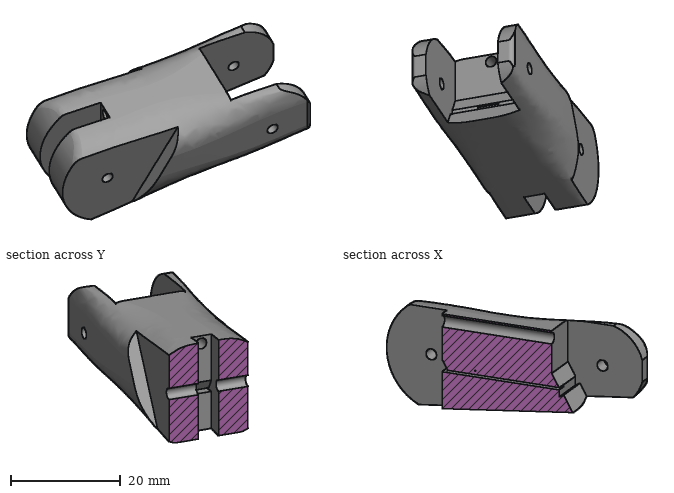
import cadquery as cq
import math


top_z = 9.0
rear_y = 39.99
nose_bottom_z = -10.11
nose_y = -9.0
nose_radius = 11.12
nose_center_y = nose_y + nose_radius
nose_top_y = nose_center_y - math.sqrt(nose_radius**2 - top_z**2)
nose_bottom_y = nose_center_y - math.sqrt(nose_radius**2 - nose_bottom_z**2)
nose_blend_radius = 1.9
underside_slope = 0.1205
front_margin_y = -10.5
rear_margin_y = 41.0

body_sections = [
    (front_margin_y, 2.9, 10.63, 3.2, -1.2, 6.2),
    (-2.0, 2.85, 10.63, 3.2, -1.2, 6.2),
    (6.5, 2.7, 10.63, 3.1, -1.2, 5.6),
    (15.5, 2.55, 10.53, 3.0, -1.6, 4.0),
    (24.5, 5.2, 10.33, 3.9, -2.15, 2.3),
    (33.0, 8.0, 10.13, 4.9, -1.8, 1.7),
    (rear_margin_y, 8.4, 9.95, 4.9, -1.2, 1.7),
]

rear_pin_y = 32.0
rear_pin_z = 1.0
rear_radius = 8.3
heel_start_z = -1.0
heel_mid = (39.05, -3.1)
heel_end_y = 36.9

knuckle_half_width = 7.95
shoulder_distance = 8.5
shoulder_angle = 30.0
front_slot_width = 4.0
front_slot_end_y = 3.1

pin_hole_diameter = 2.1
tendon_hole_diameter = 2.1
tendon_hole_z = 7.5
passage_ceiling_z = -1.85
passage_floor_z = -2.2
passage_lead_in_z = 0.0
passage_lead_in_depth = 1.05

fork_gap_width = 14.0
fork_top_y = 25.1
fork_lip_y = 26.6
fork_ledge_y = 27.5
tongue_end_y = 29.35
stop_angle = 60.0
ledge_angle = 30.0
fork_corner_radius = 0.9

cut_size = 60.0
margin = 0.1
diagonal = math.sqrt(0.5)


def underside_z(y):
    """Height of the sloping underside at a distance y along the part."""
    return nose_bottom_z + underside_slope * (y - nose_bottom_y)


def extrude_side_profile(profile, width):
    """Extrude a closed YZ profile symmetrically about the X = 0 plane."""
    return profile.close().extrude(width / 2, both=True)


def section_wire(y, top_half, side_half, side_top, side_bottom, bottom_half):
    """Closed section at y: four flats joined by quarter-ellipse corners."""
    bottom = underside_z(y)

    def corner(flat_half, flat_z, side_z, sign):
        """Edge from the top or bottom flat out to the side flat on side sign."""
        middle_x = flat_half + (side_half - flat_half) * diagonal
        middle_z = side_z + (flat_z - side_z) * diagonal
        points = [
            cq.Vector(sign * flat_half, y, flat_z),
            cq.Vector(sign * middle_x, y, middle_z),
            cq.Vector(sign * side_half, y, side_z),
        ]
        end_direction = math.copysign(1, side_z - flat_z)
        tangents = [cq.Vector(sign, 0, 0), cq.Vector(0, 0, end_direction)]
        return cq.Edge.makeSpline(points, tangents=tangents)

    def flat(x1, z1, x2, z2):
        """Straight edge between two points of the section."""
        return cq.Edge.makeLine(cq.Vector(x1, y, z1), cq.Vector(x2, y, z2))

    edges = [
        flat(-top_half, top_z, top_half, top_z),
        corner(top_half, top_z, side_top, 1),
        flat(side_half, side_top, side_half, side_bottom),
        corner(bottom_half, bottom, side_bottom, 1),
        flat(bottom_half, bottom, -bottom_half, bottom),
        corner(bottom_half, bottom, side_bottom, -1),
        flat(-side_half, side_bottom, -side_half, side_top),
        corner(top_half, top_z, side_top, -1),
    ]
    return cq.Wire.assembleEdges(edges)


def make_body():
    """Smooth loft through all the cross-sections."""
    wires = [section_wire(*section) for section in body_sections]
    return cq.Workplane(cq.Solid.makeLoft(wires))


def make_side_envelope():
    """Side outline: round nose, flat top, arc about the rear pin and rounded heel."""
    arc_top_y = rear_pin_y + math.sqrt(rear_radius**2 - (top_z - rear_pin_z)**2)
    arc_end_z = rear_pin_z + math.sqrt(rear_radius**2 - (rear_y - rear_pin_y)**2)
    arc_mid = (
        rear_pin_y + rear_radius * diagonal,
        rear_pin_z + rear_radius * diagonal,
    )
    profile = (
        cq.Workplane("YZ")
        .moveTo(nose_top_y, top_z)
        .lineTo(arc_top_y, top_z)
        .threePointArc(arc_mid, (rear_y, arc_end_z))
        .lineTo(rear_y, heel_start_z)
        .threePointArc(heel_mid, (heel_end_y, underside_z(heel_end_y)))
        .lineTo(nose_bottom_y, nose_bottom_z)
        .threePointArc((nose_y, 0), (nose_top_y, top_z))
    )
    return extrude_side_profile(profile, cut_size)


def make_plan_envelope():
    """Plan outline that rounds the outer upright corners of the fork ends."""
    widest = max(section[2] for section in body_sections)
    end_half_width = body_sections[-1][2]
    return (
        cq.Workplane("XY")
        .moveTo(-widest, front_margin_y)
        .lineTo(widest, front_margin_y)
        .lineTo(widest, rear_y - 2 * fork_corner_radius)
        .lineTo(end_half_width, rear_y - fork_corner_radius)
        .radiusArc((end_half_width - fork_corner_radius, rear_y), -fork_corner_radius)
        .lineTo(fork_corner_radius - end_half_width, rear_y)
        .radiusArc((-end_half_width, rear_y - fork_corner_radius), -fork_corner_radius)
        .lineTo(-widest, rear_y - 2 * fork_corner_radius)
        .close()
        .extrude(cut_size / 2, both=True)
    )


def make_shoulder_cut(side):
    """Space beside the knuckle, in front of the tilted shoulder plane."""
    block = (
        cq.Workplane("XY")
        .box(cut_size, cut_size, cut_size)
        .translate((0, shoulder_distance - cut_size / 2, 0))
        .rotate((0, 0, 0), (1, 0, 0), -shoulder_angle)
    )
    beside = (
        cq.Workplane("XY")
        .box(cut_size, 2 * cut_size, 2 * cut_size)
        .translate((side * (knuckle_half_width + cut_size / 2), 0, 0))
    )
    return block.intersect(beside)


def make_front_slot():
    """Slot through the knuckle and the thin cord passage behind it."""
    passage_start_y = front_slot_end_y + passage_lead_in_depth
    profile = (
        cq.Workplane("YZ")
        .moveTo(front_margin_y, -cut_size / 2)
        .lineTo(front_slot_end_y, -cut_size / 2)
        .lineTo(front_slot_end_y, passage_floor_z)
        .lineTo(fork_lip_y, passage_floor_z)
        .lineTo(fork_lip_y, passage_ceiling_z)
        .lineTo(passage_start_y, passage_ceiling_z)
        .lineTo(front_slot_end_y, passage_lead_in_z)
        .lineTo(front_slot_end_y, cut_size / 2)
        .lineTo(front_margin_y, cut_size / 2)
    )
    return extrude_side_profile(profile, front_slot_width)


def make_fork_gap():
    """Gap between the fork arms, with an upright wall, a sloped lip, a ledge and the tongue's end face."""
    stop_slope = math.tan(math.radians(stop_angle))
    ledge_slope = math.tan(math.radians(ledge_angle))
    wall_bottom_z = passage_ceiling_z + (fork_lip_y - fork_top_y) * stop_slope
    ledge_z = underside_z(tongue_end_y) + (tongue_end_y - fork_ledge_y) * stop_slope
    ledge_inner_z = ledge_z - (fork_ledge_y - fork_lip_y) * ledge_slope
    below_z = -cut_size / 2
    below_y = fork_ledge_y + (ledge_z - below_z) / stop_slope
    profile = (
        cq.Workplane("YZ")
        .moveTo(fork_top_y, cut_size / 2)
        .lineTo(fork_top_y, wall_bottom_z)
        .lineTo(fork_lip_y, passage_ceiling_z)
        .lineTo(fork_lip_y, ledge_inner_z)
        .lineTo(fork_ledge_y, ledge_z)
        .lineTo(below_y, below_z)
        .lineTo(cut_size, below_z)
        .lineTo(cut_size, cut_size / 2)
    )
    return extrude_side_profile(profile, fork_gap_width)


def make_pin_hole(y, z):
    """Hinge pin hole through the full width."""
    return (
        cq.Workplane("YZ")
        .center(y, z)
        .circle(pin_hole_diameter / 2)
        .extrude(cut_size / 2, both=True)
    )


def make_tendon_hole():
    """Hole along the part, just under the top surface."""
    return (
        cq.Workplane("XZ")
        .center(0, tendon_hole_z)
        .circle(tendon_hole_diameter / 2)
        .extrude(cut_size, both=True)
    )


def blend_nose(part):
    """Round the edge where the nose arc meets the top of the knuckle."""
    nose_box = cq.selectors.BoxSelector(
        (-knuckle_half_width + margin, nose_y, top_z / 2),
        (knuckle_half_width - margin, nose_top_y + margin, top_z + margin),
    )
    return part.edges(nose_box).fillet(nose_blend_radius)


result = make_body().intersect(make_side_envelope()).intersect(make_plan_envelope())
for side in (-1, 1):
    result = result.cut(make_shoulder_cut(side))
result = blend_nose(result)
result = result.cut(make_front_slot())
result = result.cut(make_fork_gap())
result = result.cut(make_pin_hole(0, 0))
result = result.cut(make_pin_hole(rear_pin_y, rear_pin_z))
result = result.cut(make_tendon_hole())